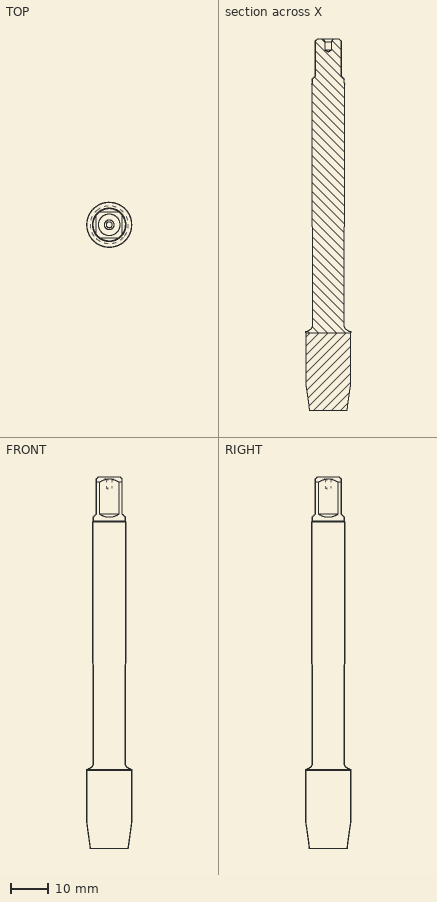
import cadquery as cq
import math

lead_length = 7.0
head_length = 21.0
shoulder_top = 21.25
neck_top = 49.2
shank_bottom = 50.2
drive_bottom = 88.1
flat_bottom = 90.0
total_length = 100.0

head_radius = 12.14 / 2
tip_radius = 10.2 / 2
neck_radius = 8.64 / 2
shank_radius = 9.0 / 2
drive_radius = 8.7 / 2
drive_top_radius = 5.8 / 2
square_width = 7.0

collar_slope = math.radians(27)
collar_fillet = 1.3

shank_bevel_height = 0.3
drive_bevel_height = 1.4

centre_radius = 1.6 / 2
centre_mouth_radius = 2.6 / 2
centre_sink_depth = 0.9
centre_depth = 3.0
drill_point_angle = math.radians(118)


def revolve_about_z(profile):
    """Solid of revolution about Z from a closed profile of radius against height."""
    return profile.revolve(360, (0, 0, 0), (0, 1, 0))


def make_head():
    """Threaded head: tapered lead followed by a plain cylinder."""
    profile = (
        cq.Workplane("XZ")
        .lineTo(tip_radius, 0)
        .lineTo(head_radius, lead_length)
        .lineTo(head_radius, head_length)
        .lineTo(0, head_length)
        .close()
    )
    return revolve_about_z(profile)


def make_shank_blank():
    """Turned shank: shoulder, collar, relieved neck, plain shank and round drive end."""
    turn = math.pi / 2 - collar_slope
    fillet_centre_radius = neck_radius + collar_fillet
    collar_radius = fillet_centre_radius - collar_fillet * math.cos(turn)
    collar_bottom = shoulder_top + (head_radius - collar_radius) * math.tan(collar_slope)
    collar_top = collar_bottom + collar_fillet * math.sin(turn)
    fillet_middle = (
        fillet_centre_radius - collar_fillet * math.cos(turn / 2),
        collar_top - collar_fillet * math.sin(turn / 2),
    )
    profile = (
        cq.Workplane("XZ")
        .moveTo(0, head_length)
        .lineTo(head_radius, head_length)
        .lineTo(head_radius, shoulder_top)
        .lineTo(collar_radius, collar_bottom)
        .threePointArc(fillet_middle, (neck_radius, collar_top))
        .lineTo(neck_radius, neck_top)
        .lineTo(shank_radius, shank_bottom)
        .lineTo(shank_radius, drive_bottom - shank_bevel_height)
        .lineTo(drive_radius, drive_bottom)
        .lineTo(drive_radius, total_length - drive_bevel_height)
        .lineTo(drive_top_radius, total_length)
        .lineTo(0, total_length)
        .close()
    )
    return revolve_about_z(profile)


def make_flat_cutter():
    """Prism that mills one drive flat on +X, with a 45 degree run-out at its foot."""
    flat_distance = square_width / 2
    run_out = shank_radius
    return (
        cq.Workplane("XZ")
        .moveTo(flat_distance, flat_bottom)
        .lineTo(flat_distance + run_out, flat_bottom - run_out)
        .lineTo(flat_distance + run_out, total_length)
        .lineTo(flat_distance, total_length)
        .close()
        .extrude(shank_radius, both=True)
    )


def make_centre_hole():
    """Countersunk, drilled centre hole in the top face."""
    floor = total_length - centre_depth
    profile = (
        cq.Workplane("XZ")
        .moveTo(0, total_length)
        .lineTo(centre_mouth_radius, total_length)
        .lineTo(centre_radius, total_length - centre_sink_depth)
        .lineTo(centre_radius, floor)
        .lineTo(0, floor - centre_radius / math.tan(drill_point_angle / 2))
        .close()
    )
    return revolve_about_z(profile)


def make_shank():
    """Shank with its square drive and centre hole."""
    shank = make_shank_blank().cut(make_centre_hole())
    side_count = 4
    for side in range(side_count):
        turn = side * 360 / side_count
        shank = shank.cut(make_flat_cutter().rotate((0, 0, 0), (0, 0, 1), turn))
    return shank


head = make_head()
shank = make_shank()

result = cq.Compound.makeCompound([head.val(), shank.val()])